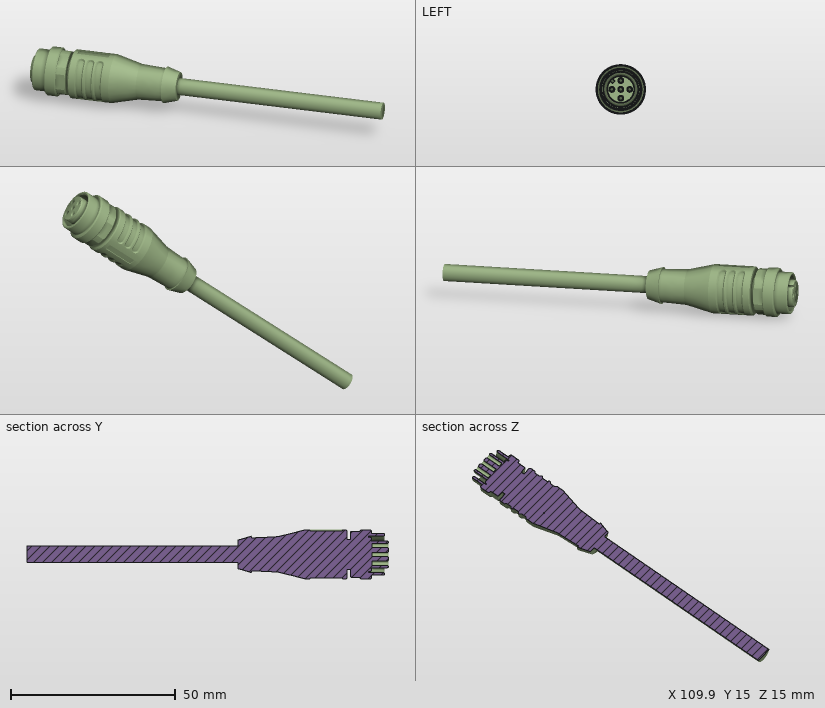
import cadquery as cq
import math

OVERALL_LENGTH = 109.9
OUTER_DIAMETER = 15.0

INSERT_DIAMETER = 8.3
SOCKET_DIAMETER = 1.15
SOCKET_RING_RADIUS = 2.7
SOCKET_COUNT = 4
SOCKET_DEPTH = 5.0
SOCKET_MOUTH_CHAMFER = 0.3
NOSE_LENGTH = 0.4
NOSE_DIAMETER = 8.0
KEYWAY_ANGLE = 45.0
KEYWAY_WIDTH = 1.0
KEYWAY_DEPTH = 1.1
KEYWAY_LENGTH = 5.0

SEAL_RING_RADIUS = 4.7
SEAL_CORD_RADIUS = 0.6

NUT_FRONT = 1.1
NUT_DIAMETER = 12.8
NUT_CHAMFER = 0.25
NUT_BORE_DIAMETER = 10.95
NUT_BORE_CHAMFER = 0.4
NUT_BORE_END = 6.0
COLLAR_START = 5.1
COLLAR_END = 8.75
COLLAR_CHAMFER = 0.35
HEX_END = 11.65
HEX_ACROSS_FLATS = 13.2
HEX_CORNER_DIAMETER = 14.15
HEX_CHAMFER = 0.3

NECK_DIAMETER = 9.3
GRIP_START = 12.6
GRIP_END = 25.5
GRIP_CHAMFER = 0.3
TAPER_END = 33.6
TAPER_END_DIAMETER = 10.95
WAIST_END = 41.6
WAIST_END_DIAMETER = 10.2
FLARE_DIAMETER = 11.3
SLEEVE_END = 45.8
SLEEVE_END_DIAMETER = 8.8
CABLE_DIAMETER = 5.2

GROOVE_COUNT = 3
GROOVE_PITCH = 2.95
GROOVE_TOP_WIDTH = 2.45
GROOVE_FLOOR_WIDTH = 1.65
GROOVE_DEPTH = 0.5
GROOVE_HALF_SWEEP = 58.5

RECESS_LENGTH = 9.8
RECESS_WIDTH = 2.0
RECESS_DEPTH = 0.3
RECESS_CORNER_RADIUS = 0.3
GRIP_FEATURE_CENTER = 18.95


def cylinder(start, end, diameter):
    """Cylinder along X from start to end."""
    return cq.Workplane("YZ", origin=(start, 0, 0)).circle(diameter / 2).extrude(end - start)


def cone(start, end, start_diameter, end_diameter):
    """Truncated cone along X from start to end."""
    solid = cq.Solid.makeCone(
        start_diameter / 2, end_diameter / 2, end - start, cq.Vector(start, 0, 0), cq.Vector(1, 0, 0)
    )
    return cq.Workplane("XY").add(solid)


def turned(shape, angle):
    """Turn a shape about the X axis; 0 degrees points along +Y and 90 along +Z."""
    return shape.rotate((0, 0, 0), (1, 0, 0), angle)


def make_nut():
    """Round collar, smooth front sleeve and hexagonal rear end."""
    sleeve = cylinder(NUT_FRONT, COLLAR_START, NUT_DIAMETER).faces("<X").chamfer(NUT_CHAMFER)
    collar = cylinder(COLLAR_START, COLLAR_END, OUTER_DIAMETER).edges().chamfer(COLLAR_CHAMFER)
    hex_corner_diameter = HEX_ACROSS_FLATS / math.cos(math.radians(30))
    hex_blank = (
        cq.Workplane("YZ", origin=(COLLAR_END, 0, 0))
        .polygon(6, hex_corner_diameter)
        .extrude(HEX_END - COLLAR_END)
    )
    hex_prism = turned(hex_blank, 90)
    hex_limit = cylinder(COLLAR_END, HEX_END, HEX_CORNER_DIAMETER).faces(">X").chamfer(HEX_CHAMFER)
    bore = cylinder(NUT_FRONT, NUT_BORE_END, NUT_BORE_DIAMETER)
    bore_mouth = cone(
        NUT_FRONT,
        NUT_FRONT + NUT_BORE_CHAMFER,
        NUT_BORE_DIAMETER + 2 * NUT_BORE_CHAMFER,
        NUT_BORE_DIAMETER,
    )
    return sleeve.union(collar).union(hex_prism.intersect(hex_limit)).cut(bore).cut(bore_mouth)


def make_insert():
    """Contact insert with a central socket, a ring of sockets and a keyway in its rim."""
    nose = cone(0, NOSE_LENGTH, NOSE_DIAMETER, INSERT_DIAMETER)
    insert = nose.union(cylinder(NOSE_LENGTH, NUT_BORE_END, INSERT_DIAMETER))
    socket = cylinder(0, SOCKET_DEPTH, SOCKET_DIAMETER).union(
        cone(0, SOCKET_MOUTH_CHAMFER, SOCKET_DIAMETER + 2 * SOCKET_MOUTH_CHAMFER, SOCKET_DIAMETER)
    )
    insert = insert.cut(socket)
    for index in range(SOCKET_COUNT):
        angle = index * 360 / SOCKET_COUNT
        insert = insert.cut(turned(socket.translate((0, SOCKET_RING_RADIUS, 0)), angle))
    keyway = (
        cq.Workplane("XY")
        .box(KEYWAY_LENGTH, 2 * KEYWAY_DEPTH, KEYWAY_WIDTH, centered=(False, True, True))
        .translate((0, INSERT_DIAMETER / 2, 0))
    )
    return insert.cut(turned(keyway, KEYWAY_ANGLE))


def make_seal():
    """O-ring on the floor of the nut's bore."""
    return cq.Workplane("XY").add(
        cq.Solid.makeTorus(
            SEAL_RING_RADIUS,
            SEAL_CORD_RADIUS,
            cq.Vector(NUT_BORE_END - SEAL_CORD_RADIUS / 2, 0, 0),
            cq.Vector(1, 0, 0),
        )
    )


def make_body():
    """Neck, grip, strain relief sleeve and cable as one turned profile."""
    grip_radius = OUTER_DIAMETER / 2
    return (
        cq.Workplane("XY")
        .moveTo(NUT_BORE_END, 0)
        .lineTo(NUT_BORE_END, NECK_DIAMETER / 2)
        .lineTo(GRIP_START, NECK_DIAMETER / 2)
        .lineTo(GRIP_START, grip_radius - GRIP_CHAMFER)
        .lineTo(GRIP_START + GRIP_CHAMFER, grip_radius)
        .lineTo(GRIP_END, grip_radius)
        .lineTo(TAPER_END, TAPER_END_DIAMETER / 2)
        .lineTo(WAIST_END, WAIST_END_DIAMETER / 2)
        .lineTo(WAIST_END, FLARE_DIAMETER / 2)
        .lineTo(SLEEVE_END, SLEEVE_END_DIAMETER / 2)
        .lineTo(SLEEVE_END, CABLE_DIAMETER / 2)
        .lineTo(OVERALL_LENGTH, CABLE_DIAMETER / 2)
        .lineTo(OVERALL_LENGTH, 0)
        .close()
        .revolve(360, (0, 0, 0), (1, 0, 0))
    )


def groove_cutter(center):
    """Groove with sloping walls and round ends, wrapped about the +Y side of the grip."""
    grip_radius = OUTER_DIAMETER / 2
    floor_radius = grip_radius - GROOVE_DEPTH
    top_radius = grip_radius + GROOVE_DEPTH
    floor_half = GROOVE_FLOOR_WIDTH / 2
    wall_run = (GROOVE_TOP_WIDTH - GROOVE_FLOOR_WIDTH) / 2
    top_half = floor_half + 2 * wall_run
    profile = [
        (center - floor_half, floor_radius),
        (center + floor_half, floor_radius),
        (center + top_half, top_radius),
        (center - top_half, top_radius),
    ]
    sweep = (
        cq.Workplane("XY")
        .polyline(profile)
        .close()
        .revolve(2 * GROOVE_HALF_SWEEP, (0, 0, 0), (1, 0, 0))
    )
    cutter = turned(sweep, -GROOVE_HALF_SWEEP)
    end_cone = cq.Solid.makeCone(
        floor_half - wall_run,
        top_half,
        3 * GROOVE_DEPTH,
        cq.Vector(center, floor_radius - GROOVE_DEPTH, 0),
        cq.Vector(0, 1, 0),
    )
    core = cylinder(GRIP_START, GRIP_END, 2 * floor_radius)
    round_end = cq.Workplane("XY").add(end_cone).cut(core)
    for angle in (-GROOVE_HALF_SWEEP, GROOVE_HALF_SWEEP):
        cutter = cutter.union(turned(round_end, angle))
    return cutter


def cut_grooves(body):
    """Cut the finger grooves into both sides of the grip."""
    first = GRIP_FEATURE_CENTER - GROOVE_PITCH * (GROOVE_COUNT - 1) / 2
    for index in range(GROOVE_COUNT):
        cutter = groove_cutter(first + index * GROOVE_PITCH)
        for angle in (0, 180):
            body = body.cut(turned(cutter, angle))
    return body


def cut_recesses(body):
    """Cut a flat rounded recess into the top and the bottom of the grip."""
    for side in (-1, 1):
        recess = (
            cq.Workplane("XY")
            .box(RECESS_LENGTH, RECESS_WIDTH, 2 * RECESS_DEPTH)
            .edges("|Z")
            .fillet(RECESS_CORNER_RADIUS)
            .translate((GRIP_FEATURE_CENTER, 0, side * OUTER_DIAMETER / 2))
        )
        body = body.cut(recess)
    return body


body = cut_recesses(cut_grooves(make_body()))
result = body.union(make_nut()).union(make_insert()).union(make_seal())